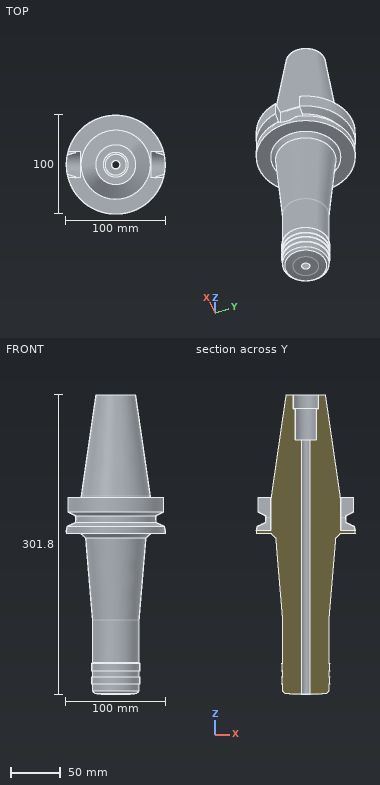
import cadquery as cq

total_length = 301.8
taper_length = 101.7
taper_small_diameter = 40.0
gauge_diameter = 69.7

flange_diameter = 100.0
flange_top_depth = 103.2
flange_bottom_depth = 139.7
groove_diameter = 85.0
groove_mouth_top_depth = 118.0
groove_floor_top_depth = 122.0
groove_floor_bottom_depth = 128.5
groove_mouth_bottom_depth = 132.5

collar_diameter = 70.5
collar_length = 4.5
neck_diameter = 61.0
neck_end_depth = 227.0

nose_diameter = 47.0
band_diameter = 48.5
band_depths = [(269.8, 278.0), (284.0, 291.2)]
band_lead_in = 1.0
nose_chamfer_height = 2.5
nose_chamfer_diameter = 42.3
nose_tip_height = 1.0
nose_tip_diameter = 26.0

slot_width = 26.3
slot_floor_distance = 35.3
slot_length = 33.2

mouth_bore_diameter = 25.0
mouth_bore_depth = 14.0
thread_bore_diameter = 21.0
thread_bore_depth = 45.3
coolant_bore_diameter = 8.0


def make_body():
    """Revolve the half profile, listed as (diameter, depth) from the small end down."""
    steps = [
        (0, 0),
        (taper_small_diameter, 0),
        (gauge_diameter, taper_length),
        (gauge_diameter, flange_top_depth),
        (flange_diameter, flange_top_depth),
        (flange_diameter, groove_mouth_top_depth),
        (groove_diameter, groove_floor_top_depth),
        (groove_diameter, groove_floor_bottom_depth),
        (flange_diameter, groove_mouth_bottom_depth),
        (flange_diameter, flange_bottom_depth),
        (collar_diameter, flange_bottom_depth),
        (neck_diameter, flange_bottom_depth + collar_length),
        (nose_diameter, neck_end_depth),
    ]
    lead_ins = [band_lead_in, 0]
    for (band_top, band_bottom), lead_in in zip(band_depths, lead_ins):
        steps += [
            (nose_diameter, band_top),
            (band_diameter, band_top + lead_in),
            (band_diameter, band_bottom),
            (nose_diameter, band_bottom),
        ]
    steps += [
        (nose_diameter, total_length - nose_tip_height - nose_chamfer_height),
        (nose_chamfer_diameter, total_length - nose_tip_height),
        (nose_tip_diameter, total_length),
        (0, total_length),
    ]
    profile = [(diameter / 2, total_length - depth) for diameter, depth in steps]
    return cq.Workplane("XZ").polyline(profile).close().revolve(360, (0, 0), (0, 1))


def make_drive_slot(side):
    """Round-ended slot, open at the flange top and rim; side is +1 or -1 along X."""
    top = total_length - flange_top_depth
    radius = slot_width / 2
    arc_center = top - slot_length + radius
    return (
        cq.Workplane("YZ", origin=(side * slot_floor_distance, 0, 0))
        .moveTo(-radius, top)
        .lineTo(-radius, arc_center)
        .threePointArc((0, top - slot_length), (radius, arc_center))
        .lineTo(radius, top)
        .close()
        .extrude(side * flange_diameter / 2)
    )


def make_bore(diameter, depth):
    """Cylinder running down from the small end of the taper."""
    return cq.Workplane("XY", origin=(0, 0, total_length)).circle(diameter / 2).extrude(-depth)


result = make_body()
for side in (-1, 1):
    result = result.cut(make_drive_slot(side))
for diameter, depth in [
    (mouth_bore_diameter, mouth_bore_depth),
    (thread_bore_diameter, thread_bore_depth),
    (coolant_bore_diameter, total_length),
]:
    result = result.cut(make_bore(diameter, depth))